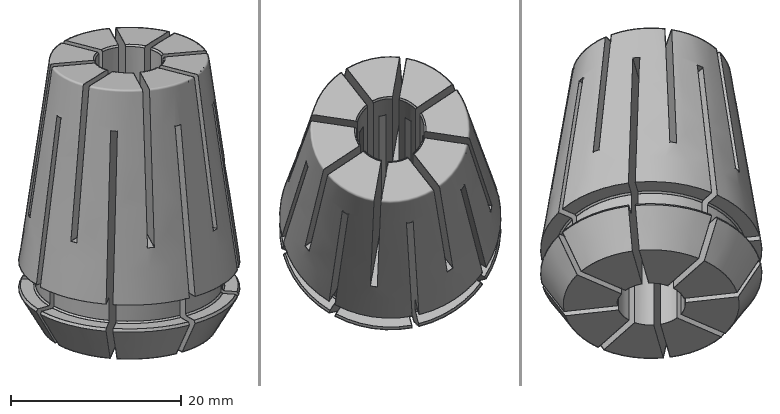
import cadquery as cq
import math

height = 34.0
outer_diameter = 25.98
bore_diameter = 8.0
nose_height = 4.62
nose_angle = 30.0
body_angle = 8.0
groove_radius = 11.0
groove_bottom = 4.95
groove_top = 8.1
groove_corner = 0.2
lip_bevel = 0.2
bore_bevel = 0.2
top_round = 0.27
slot_width = 0.8
slots_per_set = 8
lower_slot_end = 29.05
upper_slot_end = 14.93

outer_radius = outer_diameter / 2
bore_radius = bore_diameter / 2
slot_pitch = 360.0 / slots_per_set
nose_radius = outer_radius - nose_height * math.tan(math.radians(nose_angle))
body_slope = math.tan(math.radians(body_angle))
top_radius = outer_radius - (height - groove_top) * body_slope


def turned_body():
    """Half section of the collet revolved about Z, with the outer top edge rounded."""
    section = [
        (bore_radius, 0),
        (nose_radius, 0),
        (outer_radius, nose_height),
        (outer_radius - lip_bevel, groove_bottom),
        (groove_radius + groove_corner, groove_bottom),
        (groove_radius, groove_bottom + groove_corner),
        (groove_radius, groove_top - groove_corner),
        (groove_radius + groove_corner, groove_top),
        (outer_radius, groove_top),
        (top_radius, height),
        (bore_radius + bore_bevel, height),
        (bore_radius, height - bore_bevel),
    ]
    body = cq.Workplane("XZ").polyline(section).close().revolve(360, (0, 0, 0), (0, 1, 0))
    top_edge = cq.selectors.RadiusNthSelector(-1)
    return body.faces(">Z").edges(top_edge).fillet(top_round)


def radial_slots(z_start, z_end, first_angle):
    """A ring of slots, each cutting radially from the axis through the wall."""
    slot_length = outer_radius + slot_width
    slot = (
        cq.Workplane("XY", origin=(slot_length / 2, 0, z_start))
        .rect(slot_length, slot_width)
        .extrude(z_end - z_start)
    )
    slots = cq.Workplane("XY")
    for index in range(slots_per_set):
        angle = first_angle + index * slot_pitch
        slots = slots.add(slot.rotate((0, 0, 0), (0, 0, 1), angle))
    return slots.combine()


result = (
    turned_body()
    .cut(radial_slots(0, lower_slot_end, 0))
    .cut(radial_slots(upper_slot_end, height, slot_pitch / 2))
)